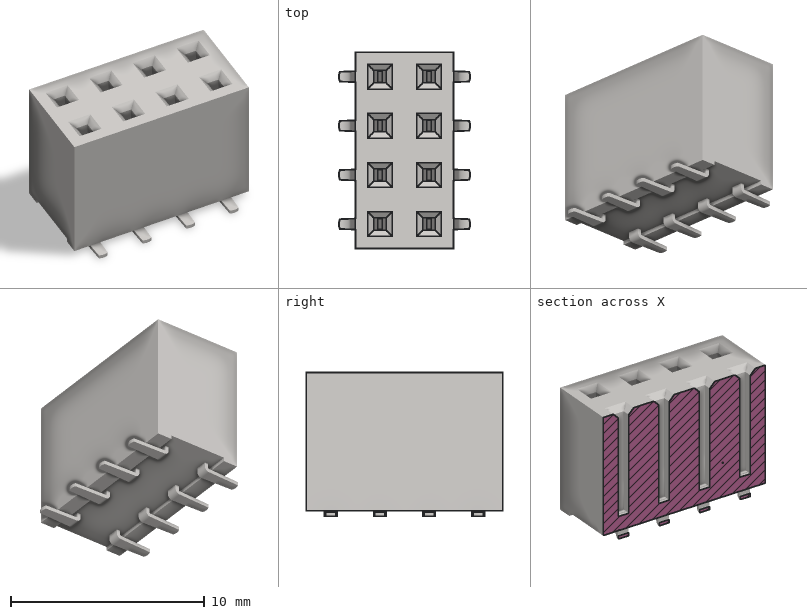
import cadquery as cq


ROWS = 4
COLUMNS = 2
PITCH = 2.54

BODY_X = COLUMNS * PITCH
BODY_Y = ROWS * PITCH
TOTAL_HEIGHT = 7.45
BODY_BOTTOM = 0.28
RECESS_WIDTH = 3.39
RECESS_DEPTH = 0.21

MOUTH_SIZE = 1.28
HOLE_SIZE = 0.64
FUNNEL_DEPTH = 0.33
SOCKET_DEPTH = 6.1
SLOT_WIDTH = 0.22
SLOT_LENGTH = 0.56

LEAD_SPAN = 6.8
LEAD_THICKNESS = 0.2
LEAD_WIDTH = 0.66
TIP_WIDTH = 0.52
TIP_BULGE = 0.06
BEND_INNER_RADIUS = 0.06

recess_roof = BODY_BOTTOM + RECESS_DEPTH
socket_floor = TOTAL_HEIGHT - SOCKET_DEPTH
bend_outer_radius = BEND_INNER_RADIUS + LEAD_THICKNESS
column_x = PITCH * (COLUMNS - 1) / 2
row_places = [(row - (ROWS - 1) / 2) * PITCH for row in range(ROWS)]


def make_housing():
    """Block with a shallow channel along the middle of its underside."""
    block = cq.Workplane("XY", origin=(0, 0, BODY_BOTTOM)).rect(BODY_X, BODY_Y).extrude(
        TOTAL_HEIGHT - BODY_BOTTOM
    )
    channel = cq.Workplane("XY", origin=(0, 0, BODY_BOTTOM)).rect(RECESS_WIDTH, BODY_Y).extrude(
        RECESS_DEPTH
    )
    return block.cut(channel)


def make_socket():
    """Cavity on the Z axis: square funnel, straight hole and a floor slot with sloping ends."""
    funnel = (
        cq.Workplane("XY", origin=(0, 0, TOTAL_HEIGHT))
        .rect(MOUTH_SIZE, MOUTH_SIZE)
        .workplane(offset=-FUNNEL_DEPTH)
        .rect(HOLE_SIZE, HOLE_SIZE)
        .loft()
    )
    hole = cq.Workplane("XY", origin=(0, 0, socket_floor)).rect(HOLE_SIZE, HOLE_SIZE).extrude(
        SOCKET_DEPTH - FUNNEL_DEPTH
    )
    slot_depth = FUNNEL_DEPTH * (HOLE_SIZE - SLOT_LENGTH) / (MOUTH_SIZE - HOLE_SIZE)
    slot_bottom = socket_floor - slot_depth
    slot = (
        cq.Workplane("YZ")
        .moveTo(-HOLE_SIZE / 2, socket_floor)
        .lineTo(-SLOT_LENGTH / 2, slot_bottom)
        .lineTo(SLOT_LENGTH / 2, slot_bottom)
        .lineTo(HOLE_SIZE / 2, socket_floor)
        .close()
        .extrude(SLOT_WIDTH / 2, both=True)
    )
    return funnel.union(hole).union(slot)


def make_lead():
    """Right-hand lead on the X axis: upright stem, round bend and a tapering foot with a bowed tip."""
    stem_inner = column_x - LEAD_THICKNESS / 2
    stem_outer = column_x + LEAD_THICKNESS / 2
    foot_start = stem_inner + bend_outer_radius
    foot_end = LEAD_SPAN / 2
    side_profile = (
        cq.Workplane("XZ")
        .moveTo(stem_inner, recess_roof)
        .lineTo(stem_inner, bend_outer_radius)
        .radiusArc((foot_start, 0), -bend_outer_radius)
        .lineTo(foot_end, 0)
        .lineTo(foot_end, LEAD_THICKNESS)
        .lineTo(foot_start, LEAD_THICKNESS)
        .radiusArc((stem_outer, bend_outer_radius), BEND_INNER_RADIUS)
        .lineTo(stem_outer, recess_roof)
        .close()
        .extrude(LEAD_WIDTH / 2, both=True)
    )
    tip_start = foot_end - TIP_BULGE
    plan_outline = (
        cq.Workplane("XY")
        .moveTo(stem_inner, -LEAD_WIDTH / 2)
        .lineTo(foot_start, -LEAD_WIDTH / 2)
        .lineTo(tip_start, -TIP_WIDTH / 2)
        .threePointArc((foot_end, 0), (tip_start, TIP_WIDTH / 2))
        .lineTo(foot_start, LEAD_WIDTH / 2)
        .lineTo(stem_inner, LEAD_WIDTH / 2)
        .close()
        .extrude(recess_roof)
    )
    return side_profile.intersect(plan_outline)


socket = make_socket()
right_lead = make_lead()
left_lead = right_lead.mirror("YZ")

result = make_housing()
for y in row_places:
    for x in (-column_x, column_x):
        result = result.cut(socket.translate((x, y, 0)))
    for lead in (left_lead, right_lead):
        result = result.union(lead.translate((0, y, 0)))